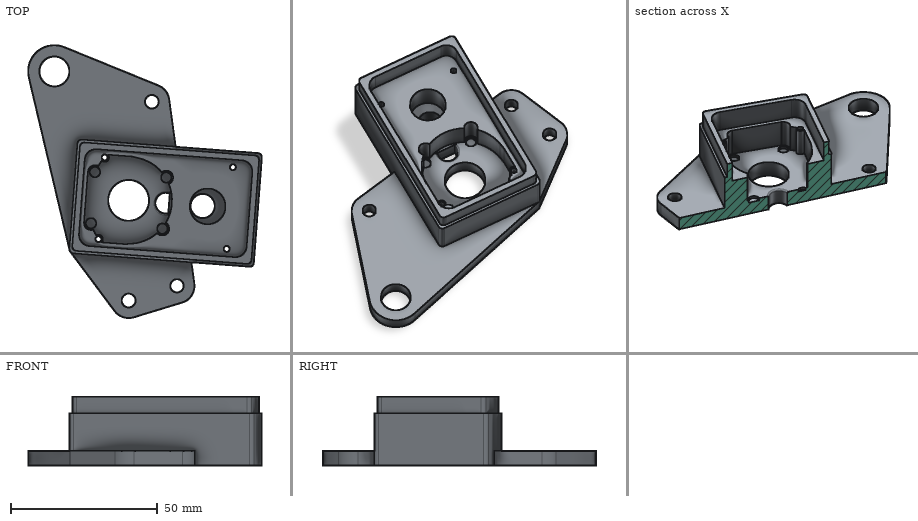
import cadquery as cq
import math


total_height = 23.5
plate_thickness = 5.0
rim_height = 5.6
cavity_depth = 7.6
motor_pocket_depth = 10.0
cavity_floor_z = total_height - cavity_depth
pocket_floor_z = cavity_floor_z - motor_pocket_depth

housing_tilt = -4.36
housing_length = 63.2
housing_width = 39.0
housing_center_x = 12.7
housing_corner_radius = 1.5
rim_inset = 0.9
rim_corner_radius = 1.5
wall_thickness = 2.9
cavity_corner_radius = 3.9

pivot_end = ((-25.35, 44.0), 18.0, 10.2)
upper_end = ((7.9, 33.6), 12.0, 4.6)
lower_right_end = ((16.5, -29.2), 12.0, 4.5)
lower_left_end = ((0, -34.2), 12.0, 4.7)

motor_radius = 14.8
pocket_left_x = -14.6
pocket_half_width = 15.0
pocket_flat_end_x = 0
pocket_notch = (-11.2, 11.1)
pocket_corner_x = -8.8
shaft_hole_diameter = 13.9
pin_x = 12.2
pin_y = 8.8
pin_lobe_diameter = 4.7
pin_recess_diameter = 3.5
pin_recess_depth = 0.9

d_hole_diameter = 7.0
d_hole_edge_radius = 0.6
d_hole_flat_x = 13.8

stepped_bore_x = 27.0
stepped_bore_diameter = 12.2
stepped_hole_x = 25.35
stepped_hole_diameter = 8.2

screw_hole_diameter = 2.0
screw_boss_diameter = 3.0
screw_spacing_x = 43.9
screw_spacing_y = 28.0


def tilted(shape):
    """Turn a shape from the housing's axes to the part's axes."""
    return shape.rotate((0, 0, 0), (0, 0, 1), housing_tilt)


def tilted_point(x, y):
    angle = math.radians(housing_tilt)
    return (
        x * math.cos(angle) - y * math.sin(angle),
        x * math.sin(angle) + y * math.cos(angle),
    )


def rounded_block(length, width, corner_radius, bottom_z, top_z):
    """Block with rounded upright edges, centred on the housing."""
    block = cq.Workplane("XY", origin=(housing_center_x, 0, bottom_z)).rect(length, width)
    return block.extrude(top_z - bottom_z).edges("|Z").fillet(corner_radius)


def cylinders(points, diameter, bottom_z, top_z):
    base = cq.Workplane("XY", origin=(0, 0, bottom_z)).pushPoints(points)
    return base.circle(diameter / 2).extrude(top_z - bottom_z)


def mirrored_points(x_values, y):
    return [(x, side * y) for x in x_values for side in (-1, 1)]


def point_on_circle(center, radius, angle):
    return (center[0] + radius * math.cos(angle), center[1] + radius * math.sin(angle))


def tangent_normal(start, end):
    """Angle of the outward normal of the outer tangent between circles listed clockwise."""
    (start_center, start_radius), (end_center, end_radius) = start, end
    dx = end_center[0] - start_center[0]
    dy = end_center[1] - start_center[1]
    return math.atan2(dy, dx) + math.acos((start_radius - end_radius) / math.hypot(dx, dy))


def wrapped_plate(circles, thickness):
    """Plate whose outline wraps tightly around circles listed clockwise."""
    count = len(circles)
    normals = [tangent_normal(circles[i], circles[(i + 1) % count]) for i in range(count)]
    outline = cq.Workplane("XY").moveTo(*point_on_circle(*circles[0], normals[0]))
    for i in range(1, count + 1):
        circle = circles[i % count]
        arriving = normals[i - 1]
        turn = (arriving - normals[i % count]) % (2 * math.pi)
        outline = outline.lineTo(*point_on_circle(*circle, arriving)).threePointArc(
            point_on_circle(*circle, arriving - turn / 2),
            point_on_circle(*circle, arriving - turn),
        )
    return outline.close().extrude(thickness)


def make_plate():
    housing_corner = tilted_point(
        housing_center_x - housing_length / 2 + housing_corner_radius,
        -housing_width / 2 + housing_corner_radius,
    )
    ends = [pivot_end, upper_end, lower_right_end, lower_left_end]
    circles = [(center, outer / 2) for center, outer, _ in ends]
    circles.append((housing_corner, housing_corner_radius))
    plate = wrapped_plate(circles, plate_thickness)
    for center, _, hole in ends:
        plate = plate.cut(cylinders([center], hole, 0, plate_thickness))
    return plate


def make_housing_body():
    shoulder_z = total_height - rim_height
    body = rounded_block(housing_length, housing_width, housing_corner_radius, 0, shoulder_z)
    rim = rounded_block(
        housing_length - 2 * rim_inset,
        housing_width - 2 * rim_inset,
        rim_corner_radius,
        shoulder_z,
        total_height,
    )
    return body.union(rim)


def make_cavity():
    return rounded_block(
        housing_length - 2 * wall_thickness,
        housing_width - 2 * wall_thickness,
        cavity_corner_radius,
        cavity_floor_z,
        total_height,
    )


def make_motor_pocket(pin_points, screw_points):
    """Round seat with a flat left wall, lobes around the pins and bosses around the screw holes."""
    flat_end_distance = math.hypot(pocket_flat_end_x, pocket_half_width)
    flat_end_angle = math.atan2(pocket_half_width, pocket_flat_end_x)
    tangent_angle = flat_end_angle - math.acos(motor_radius / flat_end_distance)
    tangent_x, tangent_y = point_on_circle((0, 0), motor_radius, tangent_angle)
    upper_side = [
        (pocket_left_x, pin_y),
        (-pin_x, pin_y),
        pocket_notch,
        (pocket_corner_x, pocket_half_width),
        (pocket_flat_end_x, pocket_half_width),
        (tangent_x, tangent_y),
    ]
    lower_side = [(x, -y) for x, y in reversed(upper_side)]
    seat = (
        cq.Workplane("XY", origin=(0, 0, pocket_floor_z))
        .polyline(upper_side)
        .threePointArc((motor_radius, 0), (tangent_x, -tangent_y))
        .polyline(lower_side)
        .close()
        .extrude(motor_pocket_depth)
    )
    lobes = cylinders(pin_points, pin_lobe_diameter, pocket_floor_z, cavity_floor_z)
    bosses = cylinders(screw_points, screw_boss_diameter, pocket_floor_z, cavity_floor_z)
    return seat.union(lobes).cut(bosses)


def make_d_hole():
    radius = d_hole_diameter / 2
    flared_radius = radius + d_hole_edge_radius
    edge_bottom_z = pocket_floor_z - d_hole_edge_radius
    edge_middle = point_on_circle(
        (flared_radius, edge_bottom_z), d_hole_edge_radius, 3 * math.pi / 4
    )
    flared_hole = (
        cq.Workplane("XZ")
        .lineTo(radius, 0)
        .lineTo(radius, edge_bottom_z)
        .threePointArc(edge_middle, (flared_radius, pocket_floor_z))
        .lineTo(0, pocket_floor_z)
        .close()
        .revolve(360, (0, 0), (0, 1))
        .translate((housing_center_x, 0, 0))
    )
    kept_side = cq.Workplane("XY").box(
        d_hole_flat_x, housing_width, total_height, centered=(False, True, False)
    )
    return flared_hole.intersect(kept_side)


def make_stepped_hole():
    bore = cylinders([(stepped_bore_x, 0)], stepped_bore_diameter, pocket_floor_z, cavity_floor_z)
    return bore.union(cylinders([(stepped_hole_x, 0)], stepped_hole_diameter, 0, pocket_floor_z))


pin_points = mirrored_points((-pin_x, pin_x), pin_y)
screw_points = mirrored_points(
    (housing_center_x - screw_spacing_x / 2, housing_center_x + screw_spacing_x / 2),
    screw_spacing_y / 2,
)
housing_cuts = [
    make_cavity(),
    make_motor_pocket(pin_points, screw_points),
    make_d_hole(),
    make_stepped_hole(),
    cylinders([(0, 0)], shaft_hole_diameter, 0, pocket_floor_z),
    cylinders(pin_points, pin_recess_diameter, pocket_floor_z - pin_recess_depth, pocket_floor_z),
    cylinders(screw_points, screw_hole_diameter, 0, cavity_floor_z),
]

result = make_plate().union(tilted(make_housing_body()))
for housing_cut in housing_cuts:
    result = result.cut(tilted(housing_cut))